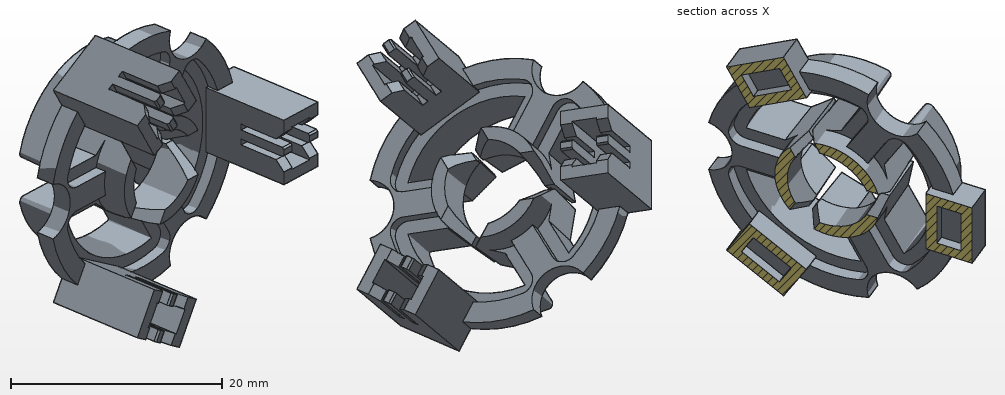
import cadquery as cq
import math

SEGMENTS = 3
SEGMENT_ANGLE = 360 / SEGMENTS
WEB_ANGLE = SEGMENT_ANGLE / 2

PLATE_RADIUS = 13.25
PLATE_THICKNESS = 2.0
NOTCH_RADIUS = 2.98
NOTCH_CENTRE = 13.45

HOLE_ARC_RADIUS = 5.2
HOLE_ARC_OFFSET = 1.0

WALL_HEIGHT = 4.77
WALL_ROOT_HALF = 0.33
WALL_TIP_HALF = 0.18
WALL_ARC_RADIUS = 10.2
WALL_SIDE_OFFSET = 2.27
WALL_INNER_DISTANCE = 5.15
WALL_INNER_TILT = 10
WALL_CORNER_RADIUS = 0.35

SLOT_WIDTH = 0.45
SLOT_START = 2.98
SLOT_END = 6.25

COLLAR_RADIUS = 5.55
COLLAR_HEIGHT = 2.5
GAP_WIDTH_AT_REAR = 4.77

LEDGE_THICKNESS = 0.8
RECESS_GROWTH = 0.98

TAB_OUTER = 15.2
TAB_INNER = 10.35
TAB_WIDTH = 6.95
TAB_LENGTH = 10.62
TAB_WALL = 1.2
TONGUE_WIDTH = 0.98
TONGUE_CHAMFER = 0.18
TAB_SLOT_WIDTH = 0.63
TAB_SLOT_LENGTH = 5.4
TAB_SLOT_FLARE = 0.98

COLLAR_END = PLATE_THICKNESS + COLLAR_HEIGHT


def around(solid, start=0):
    """Union of the solid repeated for every segment about the X axis."""
    copies = cq.Workplane("YZ")
    for index in range(SEGMENTS):
        angle = start + index * SEGMENT_ANGLE
        copies = copies.union(solid.rotate((0, 0, 0), (1, 0, 0), angle))
    return copies


def from_web(along, aside):
    """Point given along the web axis and sideways from it, toward the window."""
    angle = math.radians(WEB_ANGLE)
    return (
        along * math.cos(angle) + aside * math.sin(angle),
        along * math.sin(angle) - aside * math.cos(angle),
    )


def mirrored(point):
    return (point[0], -point[1])


def window_outline(x, growth):
    """Closed window outline at X = x, moved outward from the wall mid-line by growth."""
    arc_radius = WALL_ARC_RADIUS + growth
    side = WALL_SIDE_OFFSET - growth
    inner = WALL_INNER_DISTANCE - growth
    corner = WALL_CORNER_RADIUS + growth

    centre_aside = side + corner
    centre_radius = arc_radius - corner
    centre_along = math.sqrt(centre_radius**2 - centre_aside**2)
    arc_direction = math.atan2(centre_aside, centre_along)
    middle_direction = (arc_direction - math.pi / 2) / 2
    on_arc = from_web(arc_radius * math.cos(arc_direction), arc_radius * math.sin(arc_direction))
    on_corner = from_web(
        centre_along + corner * math.cos(middle_direction),
        centre_aside + corner * math.sin(middle_direction),
    )
    on_side = from_web(centre_along, side)

    normal = math.radians(WEB_ANGLE - WALL_INNER_TILT)
    knee = from_web((inner - side * math.sin(normal)) / math.cos(normal), side)
    peak = (inner / math.cos(math.radians(WALL_INNER_TILT)), 0)

    return (
        cq.Workplane("YZ", origin=(x, 0, 0))
        .moveTo(*peak)
        .lineTo(*knee)
        .lineTo(*on_side)
        .threePointArc(on_corner, on_arc)
        .threePointArc((arc_radius, 0), mirrored(on_arc))
        .threePointArc(mirrored(on_corner), mirrored(on_side))
        .lineTo(*mirrored(knee))
        .close()
    )


def loft_between(first, second):
    wires = [first.val(), second.val()]
    return cq.Workplane(cq.Solid.makeLoft(wires, True))


def cylinder(radius, start, end, centre=0):
    return cq.Workplane("YZ", origin=(start, 0, 0)).center(centre, 0).circle(radius).extrude(end - start)


def tab():
    slot_start = TAB_LENGTH - TAB_SLOT_LENGTH
    flare_start = TAB_LENGTH - TAB_SLOT_FLARE
    tongue_half = TONGUE_WIDTH / 2
    slot_edge = tongue_half + TAB_SLOT_WIDTH
    depth = TAB_OUTER - TAB_INNER
    blank = cq.Workplane("XY").box(TAB_LENGTH, depth, TAB_WIDTH, centered=(False, False, True))
    blank = blank.translate((0, TAB_INNER, 0))
    slot = (
        cq.Workplane("XZ", origin=(0, TAB_OUTER, 0))
        .moveTo(slot_start, tongue_half)
        .lineTo(TAB_LENGTH - TONGUE_CHAMFER, tongue_half)
        .lineTo(TAB_LENGTH, tongue_half - TONGUE_CHAMFER)
        .lineTo(TAB_LENGTH, slot_edge + TAB_SLOT_FLARE)
        .lineTo(flare_start, slot_edge)
        .lineTo(slot_start, slot_edge)
        .close()
        .extrude(depth)
    )
    pocket = cq.Workplane("XY").box(
        TAB_LENGTH - PLATE_THICKNESS,
        depth - 2 * TAB_WALL,
        TAB_WIDTH - 2 * TAB_WALL,
        centered=(False, False, True),
    )
    pocket = pocket.translate((PLATE_THICKNESS, TAB_INNER + TAB_WALL, 0))
    return blank.cut(pocket).cut(slot).cut(slot.mirror("XY"))


def central_hole():
    hole = cylinder(HOLE_ARC_RADIUS, 0, COLLAR_END, HOLE_ARC_OFFSET)
    for index in range(1, SEGMENTS):
        disc = cylinder(HOLE_ARC_RADIUS, 0, COLLAR_END, HOLE_ARC_OFFSET)
        hole = hole.intersect(disc.rotate((0, 0, 0), (1, 0, 0), index * SEGMENT_ANGLE))
    return hole


def window_wall():
    """Wall around one window, thicker at the plate, up to its tip."""
    outside = loft_between(
        window_outline(0, WALL_ROOT_HALF), window_outline(-WALL_HEIGHT, WALL_TIP_HALF)
    )
    inside = loft_between(
        window_outline(0, -WALL_ROOT_HALF), window_outline(-WALL_HEIGHT, -WALL_TIP_HALF)
    )
    return outside.cut(inside)


def wall_slot():
    """Radial slot, straight through plate and collar, widening toward the wall tip."""
    root_half = SLOT_WIDTH / 2
    tip_half = root_half + WALL_ROOT_HALF - WALL_TIP_HALF
    profile = (
        cq.Workplane("XZ", origin=(0, SLOT_START, 0))
        .moveTo(-WALL_HEIGHT, tip_half)
        .lineTo(0, root_half)
        .lineTo(COLLAR_END, root_half)
        .lineTo(COLLAR_END, -root_half)
        .lineTo(0, -root_half)
        .lineTo(-WALL_HEIGHT, -tip_half)
        .close()
    )
    return profile.extrude(SLOT_START - SLOT_END)


def collar_gap():
    """Radial gap that flares from the wall slot, deep in the plate, to the rear of the collar."""
    ledge_half = SLOT_WIDTH / 2
    rear_half = GAP_WIDTH_AT_REAR / 2
    profile = (
        cq.Workplane("XZ", origin=(0, SLOT_START, 0))
        .moveTo(LEDGE_THICKNESS, ledge_half)
        .lineTo(COLLAR_END, rear_half)
        .lineTo(COLLAR_END, -rear_half)
        .lineTo(LEDGE_THICKNESS, -ledge_half)
        .close()
    )
    return profile.extrude(SLOT_START - SLOT_END)


def window_recess():
    """Wider rear part of a window; the tab is added over it afterwards."""
    recess = window_outline(LEDGE_THICKNESS, RECESS_GROWTH).extrude(PLATE_THICKNESS - LEDGE_THICKNESS)
    return recess.cut(cylinder(COLLAR_RADIUS, 0, PLATE_THICKNESS))


window = window_outline(0, -WALL_ROOT_HALF).extrude(COLLAR_END)
notch = cylinder(NOTCH_RADIUS, 0, PLATE_THICKNESS, NOTCH_CENTRE)

collar = cylinder(COLLAR_RADIUS, PLATE_THICKNESS, COLLAR_END)
body = cylinder(PLATE_RADIUS, 0, PLATE_THICKNESS).union(collar)
body = body.cut(around(notch, WEB_ANGLE))
body = body.cut(central_hole())
body = body.cut(around(window))
body = body.cut(around(window_recess()))
body = body.cut(around(collar_gap()))
body = body.union(around(window_wall()))
body = body.cut(around(wall_slot()))
result = body.union(around(tab()))